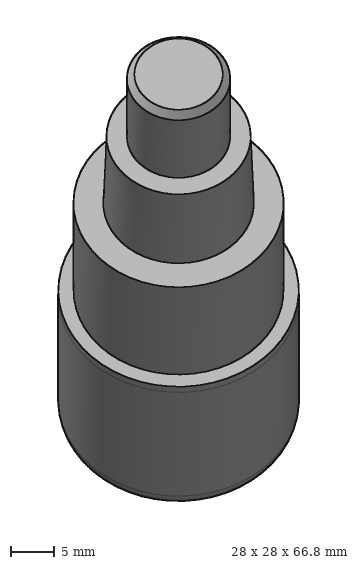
import cadquery as cq

knob_diameter = 28.0
knob_height = 24.5
knob_edge_radius = 3.2
rim_band_height = 1.0
rim_taper_angle = 3.0

shoulder_diameter = 24.4
shoulder_height = 17.1
neck_base_diameter = 17.5
neck_top_diameter = 16.75
neck_height = 13.0
stem_diameter = 12.0
stem_chamfer = 0.875
total_height = 66.75

shoulder_top = knob_height + shoulder_height
neck_top = shoulder_top + neck_height


def make_knob():
    """Solid round knob standing on z = 0."""
    straight_height = knob_height - rim_band_height
    grip = cq.Workplane("XY").circle(knob_diameter / 2).extrude(straight_height)
    grip = grip.faces("<Z").edges().fillet(knob_edge_radius)
    rim_band = (
        cq.Workplane("XY", origin=(0, 0, straight_height))
        .circle(knob_diameter / 2)
        .extrude(rim_band_height, taper=rim_taper_angle)
    )
    return grip.union(rim_band)


def make_plunger():
    """Stepped shaft seated on top of the knob, turned about the Z axis."""
    half_profile = (
        cq.Workplane("YZ")
        .moveTo(0, knob_height)
        .lineTo(shoulder_diameter / 2, knob_height)
        .lineTo(shoulder_diameter / 2, shoulder_top)
        .lineTo(neck_base_diameter / 2, shoulder_top)
        .lineTo(neck_top_diameter / 2, neck_top)
        .lineTo(stem_diameter / 2, neck_top)
        .lineTo(stem_diameter / 2, total_height)
        .lineTo(0, total_height)
        .close()
    )
    shaft = half_profile.revolve(360, (0, 0, 0), (0, 1, 0))
    return shaft.faces(">Z").edges().chamfer(stem_chamfer)


knob = make_knob()
plunger = make_plunger()

result = cq.Compound.makeCompound([knob.val(), plunger.val()])